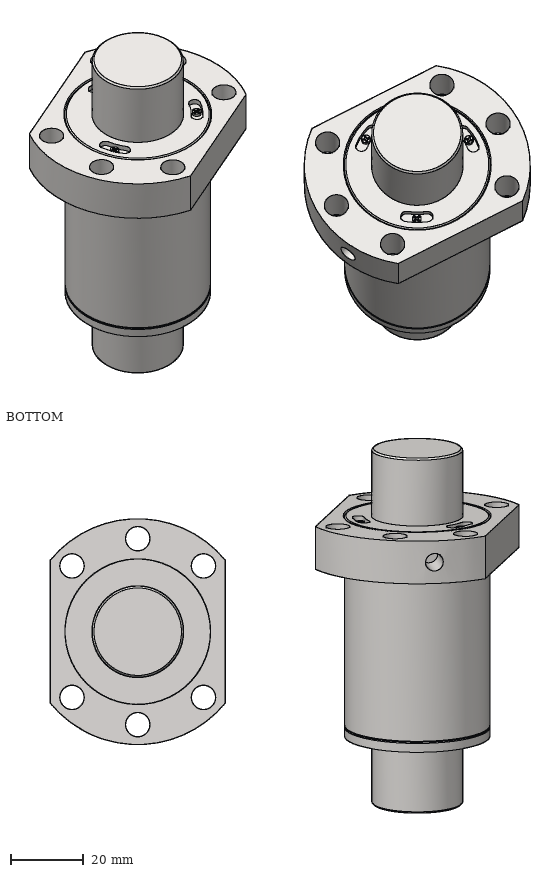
import cadquery as cq
import math

shaft_length = 100.0
shaft_diameter = 25.0
shaft_chamfer = 0.5

nut_length = 62.0
nut_diameter = 40.0
nut_bottom = (shaft_length - nut_length) / 2
nut_top = nut_bottom + nut_length

flange_diameter = 62.0
flange_width = 48.0
flange_thickness = 12.0

bolt_hole_diameter = 6.6
bolt_circle_diameter = 51.0
bolt_hole_angles = (45, 90, 135, 225, 270, 315)

oil_hole_diameter = 4.9
oil_hole_depth = 10.0
oil_hole_angle = (90 + 135) / 2

bottom_seam_half_width = 0.3
top_seam_outer_width = 0.3
top_seam_inner_width = 0.4
top_seam_depth = 0.3
bottom_seam_depth = 0.1
cap_thickness = 2.8

shaft_clearance_diameter = 25.2

screw_angles = (30, 150, 270)
slot_radius = 16.3
slot_width = 3.2
slot_half_angle = 10.0
slot_depth = 1.5
screw_head_diameter = 2.4
screw_head_height = 0.9
recess_length = 2.0
recess_width = 0.4
recess_depth = 0.4


def cylinder(diameter, bottom, height):
    return cq.Workplane("XY").workplane(offset=bottom).circle(diameter / 2).extrude(height)


def polar(radius, angle):
    return radius * math.cos(math.radians(angle)), radius * math.sin(math.radians(angle))


def make_shaft():
    return cylinder(shaft_diameter, 0, shaft_length).faces("<Z or >Z").chamfer(shaft_chamfer)


def make_flange():
    bottom = nut_top - flange_thickness
    disc = cylinder(flange_diameter, bottom, flange_thickness)
    flats = cq.Workplane("XY").workplane(offset=bottom).rect(flange_width, flange_diameter)
    return disc.intersect(flats.extrude(flange_thickness))


def make_bolt_holes():
    centres = [polar(bolt_circle_diameter / 2, angle) for angle in bolt_hole_angles]
    plane = cq.Workplane("XY").workplane(offset=nut_top - flange_thickness)
    return plane.pushPoints(centres).circle(bolt_hole_diameter / 2).extrude(flange_thickness)


def make_oil_hole():
    start = flange_diameter / 2 - oil_hole_depth
    drill = cq.Workplane("YZ").workplane(offset=start).center(0, nut_top - flange_thickness / 2)
    drill = drill.circle(oil_hole_diameter / 2).extrude(oil_hole_depth)
    return drill.rotate((0, 0, 0), (0, 0, 1), oil_hole_angle)


def revolve_about_shaft(points):
    """Revolve a closed (radius, height) outline around the Z axis."""
    return cq.Workplane("XZ").polyline(points).close().revolve(360, (0, 0, 0), (0, 1, 0))


def make_top_seam():
    radius = nut_diameter / 2
    return revolve_about_shaft([
        (radius - top_seam_inner_width, nut_top),
        (radius + top_seam_outer_width, nut_top),
        (radius, nut_top - top_seam_depth),
    ])


def make_bottom_seam():
    radius = nut_diameter / 2
    height = nut_bottom + cap_thickness
    return revolve_about_shaft([
        (radius, height - bottom_seam_half_width),
        (radius, height + bottom_seam_half_width),
        (radius - bottom_seam_depth, height),
    ])


def make_shaft_clearances():
    lower = cylinder(shaft_clearance_diameter, nut_bottom, cap_thickness)
    upper = cylinder(shaft_clearance_diameter, nut_top - cap_thickness, cap_thickness)
    return lower.union(upper)


def make_slot(angle):
    """Round-ended slot that follows a circle around the shaft."""
    first = angle - slot_half_angle
    last = angle + slot_half_angle
    inner = slot_radius - slot_width / 2
    outer = slot_radius + slot_width / 2
    end_tip = slot_half_angle + math.degrees(slot_width / 2 / slot_radius)
    outline = (
        cq.Workplane("XY").workplane(offset=nut_top - slot_depth)
        .moveTo(*polar(outer, first))
        .threePointArc(polar(outer, angle), polar(outer, last))
        .threePointArc(polar(slot_radius, angle + end_tip), polar(inner, last))
        .threePointArc(polar(inner, angle), polar(inner, first))
        .threePointArc(polar(slot_radius, angle - end_tip), polar(outer, first))
        .close()
    )
    return outline.extrude(slot_depth)


def make_screw_head(angle):
    floor = nut_top - slot_depth
    head = cylinder(screw_head_diameter, floor, screw_head_height)
    recess_plane = cq.Workplane("XY").workplane(offset=floor + screw_head_height - recess_depth)
    for turn in (45, 135):
        arm = recess_plane.rect(recess_length, recess_width).extrude(recess_depth)
        head = head.cut(arm.rotate((0, 0, 0), (0, 0, 1), turn))
    return head.translate((slot_radius, 0, 0)).rotate((0, 0, 0), (0, 0, 1), angle)


nut = cylinder(nut_diameter, nut_bottom, nut_length).union(make_flange())
nut = nut.cut(make_bolt_holes()).cut(make_oil_hole())
nut = nut.cut(make_top_seam()).cut(make_bottom_seam())
nut = nut.cut(make_shaft_clearances())
for screw_angle in screw_angles:
    nut = nut.cut(make_slot(screw_angle)).union(make_screw_head(screw_angle))

result = nut.union(make_shaft())